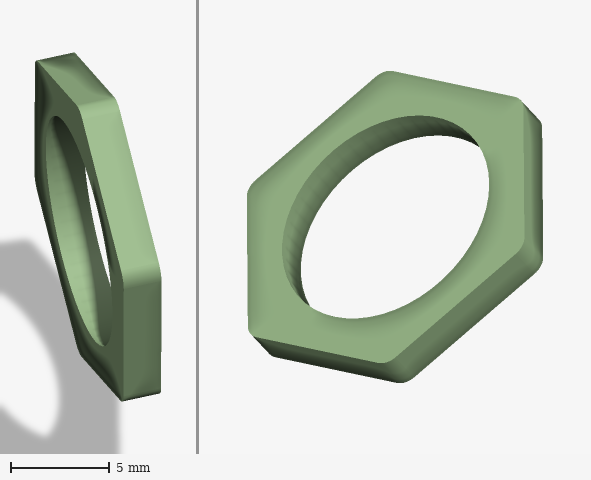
import cadquery as cq
import math

across_flats = 16.0
thickness = 2.0
bore_diameter = 12.0
corner_radius = 1.0
tilt_angle = -0.43

corner_circle_diameter = across_flats / math.cos(math.radians(30))

plate = (
    cq.Workplane("XZ")
    .transformed(rotate=(0, 0, 90 + tilt_angle))
    .polygon(6, corner_circle_diameter)
    .extrude(thickness)
    .edges("|Y")
    .fillet(corner_radius)
)

result = plate.faces("<Y").workplane(origin=(0, 0, 0)).hole(bore_diameter)